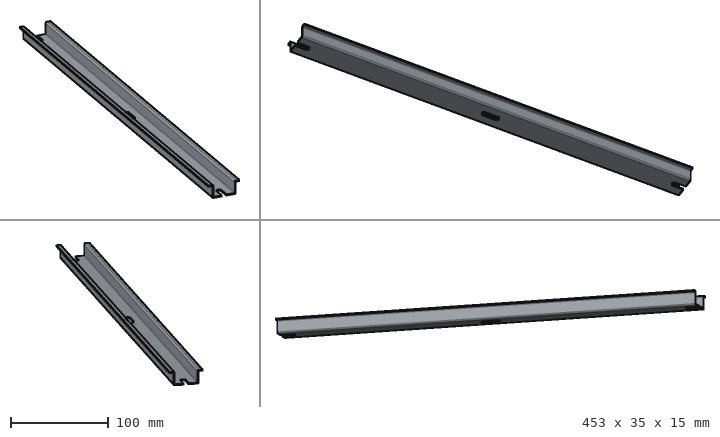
import cadquery as cq

length = 453.0
width = 35.0
height = 15.0

thickness = 1.5
flange_overhang = 3.95
channel_width = width - 2 * flange_overhang
inner_radius = 0.3
outer_radius = inner_radius + thickness

pick_tolerance = 0.05

slot_width = 5.5
center_slot_length = 20.0
end_slot_depth = 15.0


def make_rail():
    """Hat-shaped sheet section, centred on X and Y, standing on Z = 0."""
    half_channel = channel_width / 2
    half_inside = half_channel - thickness
    channel = cq.Workplane("XY").box(length, channel_width, height, centered=(True, True, False))
    flanges = (
        cq.Workplane("XY")
        .workplane(offset=height - thickness)
        .box(length, width, thickness, centered=(True, True, False))
    )
    cavity = (
        cq.Workplane("XY")
        .workplane(offset=thickness)
        .box(length, 2 * half_inside, height, centered=(True, True, False))
    )
    rail = channel.union(flanges).cut(cavity)

    def bend_edges(half_spacing, z):
        corners = cq.selectors.BoxSelector(
            (-length, -half_spacing - pick_tolerance, z - pick_tolerance),
            (length, half_spacing + pick_tolerance, z + pick_tolerance),
        )
        return rail.edges("|X").edges(corners)

    for half_spacing, z, radius in (
        (half_channel, 0, outer_radius),
        (half_inside, thickness, inner_radius),
        (half_channel, height - thickness, inner_radius),
        (half_inside, height, outer_radius),
    ):
        rail = bend_edges(half_spacing, z).fillet(radius)
    return rail


def slot_cutter(center_x, slot_length):
    """Round-ended cutter along X that passes through the floor."""
    return (
        cq.Workplane("XY")
        .center(center_x, 0)
        .slot2D(slot_length, slot_width)
        .extrude(height)
    )


result = make_rail().cut(slot_cutter(0, center_slot_length))

for end_x in (-length / 2, length / 2):
    result = result.cut(slot_cutter(end_x, 2 * end_slot_depth))